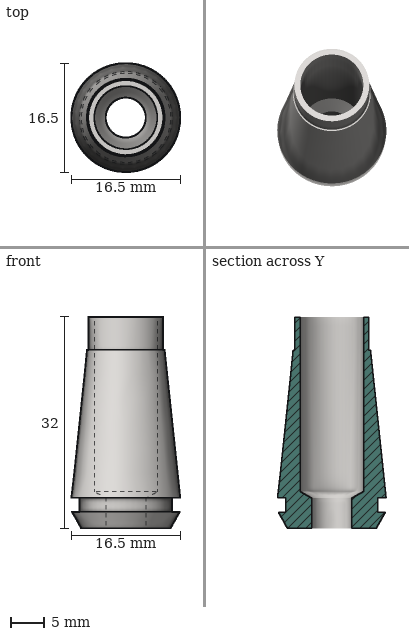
import cadquery as cq

total_height = 32.0
flange_height = 2.5
groove_height = 2.1
spigot_height = 5.0
groove_top = flange_height + groove_height
shoulder_level = total_height - spigot_height

base_radius = 6.75
flange_radius = 8.15
groove_radius = 7.0
body_bottom_radius = 8.25
body_top_radius = 5.9
spigot_radius = 5.65

bore_radius = 4.77
hole_radius = 3.0
funnel_height = 1.0
funnel_bottom = groove_top
funnel_top = funnel_bottom + funnel_height

half_section = [
    (base_radius, 0),
    (flange_radius, flange_height),
    (groove_radius, flange_height),
    (groove_radius, groove_top),
    (body_bottom_radius, groove_top),
    (body_top_radius, shoulder_level),
    (spigot_radius, shoulder_level),
    (spigot_radius, total_height),
    (bore_radius, total_height),
    (bore_radius, funnel_top),
    (hole_radius, funnel_bottom),
    (hole_radius, 0),
]

axis_start = (0, 0)
axis_end = (0, 1)
result = cq.Workplane("XZ").polyline(half_section).close().revolve(360, axis_start, axis_end)